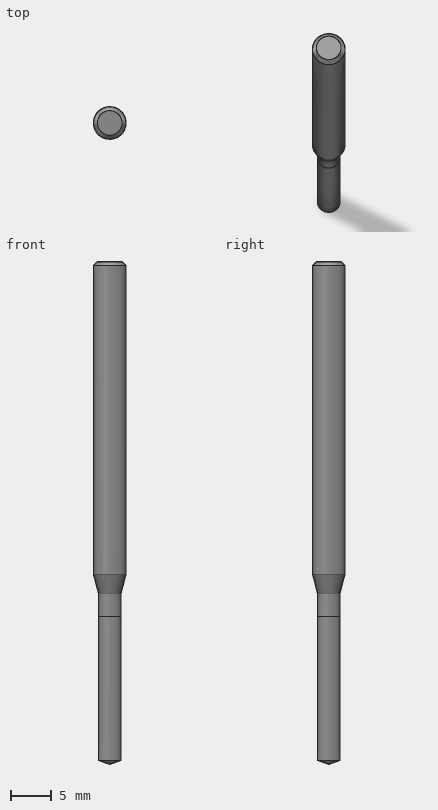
import cadquery as cq
import math

total_length = 62.0
shank_radius = 4.0 / 2
drill_radius = 2.8 / 2

top_chamfer = 0.5
taper_top_z = 23.45
taper_bottom_z = 21.1
joint_z = 18.2

point_angle = 140.0
point_height = drill_radius / math.tan(math.radians(point_angle / 2))


def revolve_profile(points):
    """Revolve a closed (radius, height) outline around the Z axis."""
    return cq.Workplane("XZ").polyline(points).close().revolve(360, (0, 0), (0, 1))


def make_shank():
    return revolve_profile([
        (0, joint_z),
        (drill_radius, joint_z),
        (drill_radius, taper_bottom_z),
        (shank_radius, taper_top_z),
        (shank_radius, total_length - top_chamfer),
        (shank_radius - top_chamfer, total_length),
        (0, total_length),
    ])


def make_drill():
    return revolve_profile([
        (0, 0),
        (drill_radius, point_height),
        (drill_radius, joint_z),
        (0, joint_z),
    ])


shank = make_shank()
drill = make_drill()

result = cq.Compound.makeCompound([shank.val(), drill.val()])